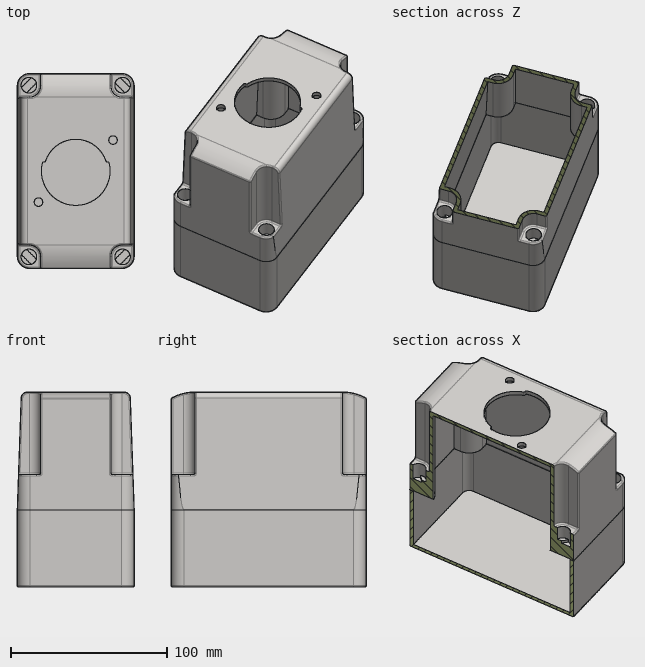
import cadquery as cq
import math

width = 75.0
length = 125.0
height = 125.0
corner_radius = 8.1
edge_round = 1.0
wall = 3.0

split_z = 49.2
upright_band = 0.6
draft_start_z = split_z + upright_band
draft_angle = 2.0
draft_slope = math.tan(math.radians(draft_angle))

roof_edge_round = 4.1
roof_flat_half = 47.5
roof_end_radius = 30.0

pocket_x = 22.5
pocket_y = 47.4
pocket_radius = 7.2
pocket_floor_z = 72.1
screw_inset = 7.5
screw_x = width / 2 - screw_inset
screw_y = length / 2 - screw_inset
screw_hole_diameter = 10.0
screw_hole_depth = 10.0
screw_slot_width = 4.8
screw_slot_depth = 2.0
screw_slot_angle = 45.0

opening_radius = 20.4
relief_radius = 22.0
relief_top_y = 5.9
relief_step_round = 0.8
pin_hole_diameter = 5.5
pin_hole_x = 23.9
pin_hole_y = 19.9

tolerance = 0.01

corners = [(sx, sy) for sx in (-1, 1) for sy in (-1, 1)]


def rounded_box(inset, bottom_z, top_z):
    """Upright box with rounded vertical edges, its sides moved inward by the inset."""
    return (
        cq.Workplane("XY", origin=(0, 0, bottom_z))
        .rect(width - 2 * inset, length - 2 * inset)
        .extrude(top_z - bottom_z)
        .edges("|Z")
        .fillet(corner_radius - inset)
    )


def drafted_prism(inset):
    """X-Z outline whose long sides lean inward above the draft line, run along Y."""
    foot_x = width / 2 - inset
    top_z = height - inset
    top_x = foot_x - (top_z - draft_start_z) * draft_slope
    return (
        cq.Workplane("XZ")
        .moveTo(-foot_x, split_z)
        .lineTo(foot_x, split_z)
        .lineTo(foot_x, draft_start_z)
        .lineTo(top_x, top_z)
        .lineTo(-top_x, top_z)
        .lineTo(-foot_x, draft_start_z)
        .close()
        .extrude(length / 2, both=True)
    )


def arched_end_prism(inset):
    """Y-Z outline with a flat roof that curves down towards both ends, run along X."""
    end_y = length / 2 - inset
    top_z = height - inset
    radius = roof_end_radius - inset
    centre_z = top_z - radius

    def arc_point(y):
        return y, centre_z + math.sqrt(radius**2 - (abs(y) - roof_flat_half) ** 2)

    middle_y = (roof_flat_half + end_y) / 2
    return (
        cq.Workplane("YZ")
        .moveTo(-end_y, split_z)
        .lineTo(end_y, split_z)
        .lineTo(*arc_point(end_y))
        .threePointArc(arc_point(middle_y), (roof_flat_half, top_z))
        .lineTo(-roof_flat_half, top_z)
        .threePointArc(arc_point(-middle_y), arc_point(-end_y))
        .close()
        .extrude(width / 2, both=True)
    )


def corner_column(sx, sy, offset, bottom_z):
    """Column filling one corner, with a rounded inner edge; the offset moves its walls inward."""
    x_near = pocket_x - offset
    y_near = pocket_y - offset
    size_x = width - x_near
    size_y = length - y_near
    return (
        cq.Workplane("XY", origin=(sx * (x_near + size_x / 2), sy * (y_near + size_y / 2), bottom_z))
        .rect(size_x, size_y)
        .extrude(height - bottom_z)
        .edges("|Z")
        .fillet(pocket_radius + offset)
    )


def is_pocket_edge(edge):
    """True for the sharp edges of the corner pockets; the seams beside the rounded wall stay out."""
    start, middle, end = (edge.positionAt(t) for t in (0, 0.5, 1))
    for point in (start, middle, end):
        if abs(point.x) < pocket_x - tolerance or abs(point.y) < pocket_y - tolerance:
            return False
        if point.z < pocket_floor_z - tolerance:
            return False
    is_upright = abs(start.x - end.x) < tolerance and abs(start.y - end.y) < tolerance
    is_wall_seam = is_upright and abs(middle.y) < length / 2 - tolerance
    return not is_wall_seam


def is_end_edge(edge):
    """True for the edges where the curved roof meets the two end faces."""
    middle = edge.Center()
    return abs(middle.x) < tolerance and abs(middle.y) > length / 2 - tolerance and middle.z > pocket_floor_z


def corner_trim(sx, sy):
    """Square corner bar less an upright post, leaving the rounded corner with a softened top edge."""
    post_x = sx * (width / 2 - corner_radius)
    post_y = sy * (length / 2 - corner_radius)
    post = (
        cq.Workplane("XY", origin=(post_x, post_y, split_z))
        .circle(corner_radius)
        .extrude(pocket_floor_z - split_z)
        .faces(">Z")
        .edges()
        .fillet(edge_round)
    )
    bar = (
        cq.Workplane("XY", origin=(sx * width / 2, sy * length / 2, split_z))
        .rect(2 * corner_radius, 2 * corner_radius)
        .extrude(pocket_floor_z - split_z)
    )
    return bar.cut(post)


def cover_outside():
    body = drafted_prism(0).intersect(arched_end_prism(0))
    body = body.edges("|Y and >Z").fillet(roof_edge_round)
    for sx, sy in corners:
        body = body.cut(corner_column(sx, sy, 0, pocket_floor_z))
    soft_edges = [e for e in body.edges().vals() if is_pocket_edge(e) or is_end_edge(e)]
    body = body.newObject(soft_edges).fillet(edge_round)
    for sx, sy in corners:
        body = body.cut(corner_trim(sx, sy))
    return body


def cover_cavity():
    cavity = rounded_box(wall, split_z, height).intersect(drafted_prism(wall))
    cavity = cavity.intersect(arched_end_prism(wall))
    for sx, sy in corners:
        cavity = cavity.cut(corner_column(sx, sy, wall, split_z))
    return cavity


def screw_hole(sx, sy):
    """Blind hole in a pocket floor, with a diagonal driver slot across its bottom."""
    floor_z = pocket_floor_z - screw_hole_depth
    centre = (sx * screw_x, sy * screw_y, floor_z)
    hole = cq.Workplane("XY", origin=centre).circle(screw_hole_diameter / 2).extrude(screw_hole_depth)
    round_below = (
        cq.Workplane("XY", origin=centre).circle(screw_hole_diameter / 2).extrude(-screw_slot_depth)
    )
    slot = (
        cq.Workplane("XY", origin=centre)
        .transformed(rotate=(0, 0, -sx * sy * screw_slot_angle))
        .rect(screw_hole_diameter, screw_slot_width)
        .extrude(-screw_slot_depth)
    )
    return hole.union(slot.intersect(round_below))


def roof_opening():
    """Round opening with a wider relief over its lower part, stepping out at one level."""
    bottom_z = height - wall
    opening = cq.Workplane("XY", origin=(0, 0, bottom_z)).circle(opening_radius).extrude(wall)
    step_x = math.sqrt(relief_radius**2 - relief_top_y**2)
    relief = (
        cq.Workplane("XY", origin=(0, 0, bottom_z))
        .moveTo(step_x, relief_top_y)
        .threePointArc((0, -relief_radius), (-step_x, relief_top_y))
        .close()
        .extrude(wall)
    )
    return opening.union(relief).edges("|Z").fillet(relief_step_round)


def pin_holes():
    return (
        cq.Workplane("XY", origin=(0, 0, height - wall))
        .pushPoints([(pin_hole_x, pin_hole_y), (-pin_hole_x, -pin_hole_y)])
        .circle(pin_hole_diameter / 2)
        .extrude(wall)
    )


def make_cover():
    body = cover_outside().cut(cover_cavity()).cut(roof_opening()).cut(pin_holes())
    for sx, sy in corners:
        body = body.cut(screw_hole(sx, sy))
    return body


def make_base():
    body = rounded_box(0, 0, split_z).faces("<Z").edges().fillet(edge_round)
    cavity = rounded_box(wall, wall, split_z)
    return body.cut(cavity)


base = make_base()
cover = make_cover()
result = cq.Compound.makeCompound([base.solids().val(), cover.solids().val()])